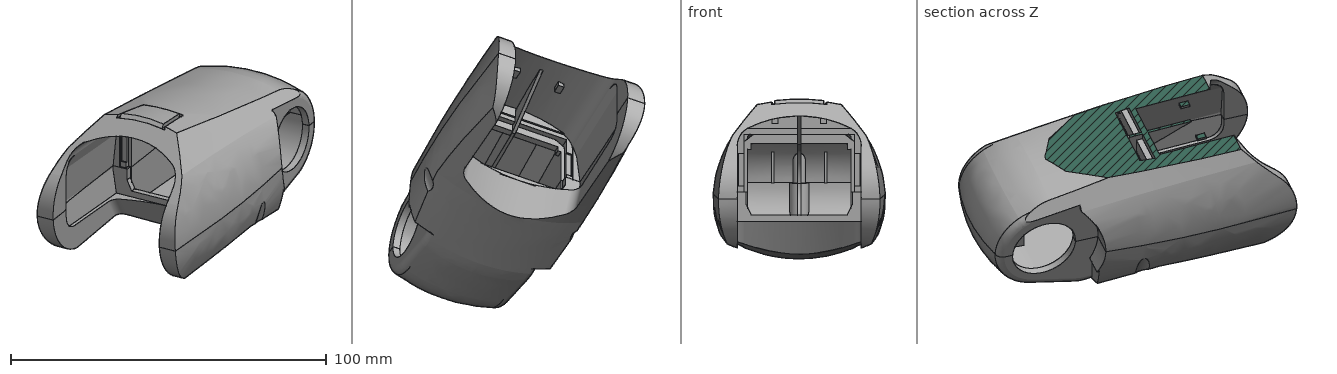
import cadquery as cq
import math


HUB_Y = 82.8
HUB_Z = 23.3
HUB_RADIUS = 18.2
HUB_HALF_WIDTH = 18.8
HUB_HOLE_RADIUS = 10.6
HUB_RIM_FILLET = 2.5
MATE_RADIUS = 18.2
LEDGE_Y = 70.7
FLANK_BACK_Y = 66.7
FLANK_STEP_Z = 13.6

ROOF_FRONT_Y = 23.1
ROOF_FRONT_Z = 50.2
ROOF_ANGLE = 7.2
SHOULDER_RADIUS = 32.3
BELLY_ANGLE = 19.0
BELLY_CORNER = (71.2, -0.2)
BELLY_FALL = 0.07
FORK_FALL = 0.08
WAIST_Y = 46.5
BELLY_EXTRA = 0.35
BELLY_FILLET = 12.1
CROWN_SAG = 3.0
CROWN_REACH = 28.3
FRONT_MARGIN = 12.1

TIP_RADIUS = 17.2
TIP_CENTRE_Z = 20.4
FRONT_ANGLE = 45.5

SPLIT_SLOPE = 0.053

CHANNEL_HALF_WIDTH = 19.6
ARCH_TOP_Z = 45.3
ARCH_SHOULDER = (15.9, 41.6)
ARCH_SPRING_Z = 36.4
BULKHEAD_Y = 40.9
BULKHEAD_BOTTOM_Z = 11.8
BULKHEAD_THICKNESS = 2.0
CHANNEL_CORNER = 3.2

CAVITY_RADIUS = 15.7
CAVITY_HALF_WIDTH = 16.4
CAVITY_FLOOR_Y = 52.5
CAVITY_ROOF_CHAMFER = 5.1
RELIEF_CORNER = (16.4, 38.4)
RELIEF_TILT = 31.0

ARCH_HAUNCH = (18.6, 39.3)
LEG_POCKET_LEDGE = 1.2
LEG_POCKET_DEPTH = 2.5
LEG_POCKET_FRONT_Y = 8.1
LEG_POCKET_CORNER = 5.1
HOOK_X = (6.7, 8.7)
HOOK_Y = 24.2
HOOK_LENGTH = 3.0
HOOK_Z = 42.8

OPENING_BOTTOM_Z = 13.8
OPENING_BEVEL_Z = 17.4
OPENING_TOP_Z = 39.4
OPENING_BOTTOM_HALF = 15.2
OPENING_LOW_HALF = 16.9
OPENING_TOP_HALF = 17.6
NOTCH_HALF = 19.3
NOTCH_Z = (23.0, 33.3)
STEP_DEPTH = 0.5
STEP_TOP_Z = 41.2
LINTEL_THICKNESS = 2.0
LINTEL_Z = 36.5
HAUNCH_Z = 34.6
HAUNCH_HALF = 15.3
CORNER_WIDTH = 3.0
CORNER_HEIGHT = 2.3

WALL_OVERLAP = 1.0
WEB_THICKNESS = 1.1
WEB_FRONT_Y = 20.2
WEB_CLEARANCE = 10.8
WEB_KNEE = (43.4, 36.2)
BOSS_Y = 96.8
UPPER_BOSS_RADIUS = 2.0
LOWER_BOSS_RADIUS = 3.1
RIB_X = 8.4
RIB_THICKNESS = 0.8
RIB_FRONT_Y = 94.5

FLANK_GROOVE_Y = 52.2
FLANK_GROOVE_LOW = (23.6, 6.1)
FLANK_GROOVE_TOP = (26.8, 15.6)
FLANK_GROOVE_RADIUS = 4.0

BADGE_BACK_Y = 35.0
BADGE_BACK_HALF = 7.5
BADGE_FRONT_Y = 15.2
BADGE_FRONT_HALF = 9.4
BADGE_GAP = 0.9
BADGE_DEPTH = 0.9
BADGE_RISE = 0.4

FAR = 80.8
UNDER = -5.1


def split_z(y):
    """Height of the parting plane at `y`."""
    return HUB_Z + SPLIT_SLOPE * (y - HUB_Y)


def prism(points, half_width):
    """Straight prism of a (y, z) polygon, symmetric about the middle plane."""
    return cq.Workplane("YZ").polyline(points).close().extrude(half_width, both=True)


def box(x_range, y_range, z_range):
    size = [high - low for low, high in (x_range, y_range, z_range)]
    corner = (x_range[0], y_range[0], z_range[0])
    return cq.Workplane("XY").box(*size, centered=False).translate(corner)


def x_cylinder(radius, half_width):
    return cq.Workplane("YZ").center(HUB_Y, HUB_Z).circle(radius).extrude(half_width, both=True)


def mirrored(solid):
    return solid.union(solid.mirror("YZ"))


def long_outline(x, inset):
    """Wire of the side outline moved inwards by `inset`, in the plane at `x`."""
    hub_r = HUB_RADIUS - inset
    shoulder_r = SHOULDER_RADIUS - inset
    roof = math.radians(ROOF_ANGLE)
    belly = math.radians(BELLY_ANGLE)
    floor = math.atan(BELLY_FALL)
    up = (math.sin(roof), math.cos(roof))
    down = (math.sin(belly), -math.cos(belly))
    floor_down = (-math.sin(floor), -math.cos(floor))

    def hub_point(angle):
        return (HUB_Y + hub_r * math.cos(angle), HUB_Z + hub_r * math.sin(angle))

    height = (HUB_Y - ROOF_FRONT_Y) * up[0] + (HUB_Z - ROOF_FRONT_Z) * up[1]
    gap = SHOULDER_RADIUS - HUB_RADIUS
    drop = -SHOULDER_RADIUS - height
    slide = -math.sqrt(gap**2 - drop**2)
    centre_y = HUB_Y + drop * up[0] + slide * up[1]
    centre_z = HUB_Z + drop * up[1] - slide * up[0]
    join = math.atan2(-drop * up[1] + slide * up[0], -drop * up[0] - slide * up[1])
    roof_end = (centre_y + shoulder_r * up[0], centre_z + shoulder_r * up[1])
    middle = (join + math.pi / 2 - roof) / 2
    shoulder_middle = (
        centre_y + shoulder_r * math.cos(middle),
        centre_z + shoulder_r * math.sin(middle),
    )

    hub_end = belly - math.pi / 2
    hub_low = hub_point(hub_end)
    turn = (belly + floor) / 2
    to_centre = BELLY_FILLET / math.cos(turn)
    lean = (belly - floor) / 2
    bump_y = BELLY_CORNER[0] - to_centre * math.sin(lean)
    bump_z = BELLY_CORNER[1] + to_centre * math.cos(lean) + BELLY_EXTRA * inset
    bump_r = BELLY_FILLET - inset

    def bump_point(direction):
        return (bump_y + bump_r * direction[0], bump_z + bump_r * direction[1])

    bump_end = bump_point(floor_down)
    front_y = -FRONT_MARGIN
    top_front = roof_end[1] + (roof_end[0] - front_y) * math.tan(roof)
    waist_z = bump_end[1] + (bump_end[0] - WAIST_Y) * BELLY_FALL
    low_front = waist_z - (WAIST_Y - front_y) * FORK_FALL
    return (
        cq.Workplane("YZ", origin=(x, 0, 0))
        .moveTo(front_y, top_front)
        .lineTo(*roof_end)
        .threePointArc(shoulder_middle, hub_point(join))
        .threePointArc(hub_point((join + hub_end) / 2), hub_low)
        .lineTo(*bump_point(down))
        .threePointArc(bump_point((math.sin(lean), -math.cos(lean))), bump_end)
        .lineTo(WAIST_Y, waist_z)
        .lineTo(front_y, low_front)
        .close()
        .val()
    )


def crowned_body():
    """Side outline whose skin falls away towards both sides."""
    sections = []
    for part in (-1, -0.5, 0, 0.5, 1):
        x = part * CROWN_REACH
        sections.append(long_outline(x, CROWN_SAG * (x / HUB_HALF_WIDTH) ** 2))
    return cq.Workplane(cq.Solid.makeLoft(sections))


BARREL_STATIONS = [
    (-4.0, (12.5, 52.0), (20.6, 39.4), 22.9, 25.3, 22.0),
    (21.2, (13.6, 48.6), (21.0, 39.4), 24.3, 26.9, 22.8),
    (42.4, (15.0, 45.5), (20.9, 38.8), 24.4, 27.3, 23.1),
    (66.7, (16.2, 41.8), (20.5, 37.1), 23.4, 26.1, 22.6),
    (105.1, (17.4, 36.2), (19.7, 33.8), 21.6, 23.2, 20.7),
]
SHOULDER_Z = 32.5
WIDEST_Z = 20.2
BOTTOM_EDGE_Z = 4.0
UNDER_NARROWING = 1.6
PEAK_RISE = 8.1


def barrel():
    """Cross-section with bevelled roof edges and bulging sides, lofted along Y."""
    sections = []
    for y, bevel_top, bevel_low, shoulder_x, widest_x, bottom_x in BARREL_STATIONS:
        run = (bevel_low[0] - bevel_top[0]) / (bevel_low[1] - bevel_top[1])
        peak = (bevel_top[0] + PEAK_RISE * run, bevel_top[1] + PEAK_RISE)
        side = [(shoulder_x, SHOULDER_Z), (widest_x, WIDEST_Z), (bottom_x, BOTTOM_EDGE_Z)]
        left_side = [(-x, z) for x, z in reversed(side)]
        under = (bottom_x - UNDER_NARROWING, UNDER)
        sections.append(
            cq.Workplane("XZ", origin=(0, y, 0))
            .moveTo(-peak[0], peak[1])
            .lineTo(*peak)
            .lineTo(*bevel_low)
            .spline(side, includeCurrent=True)
            .lineTo(*under)
            .lineTo(-under[0], under[1])
            .lineTo(*left_side[0])
            .spline(left_side[1:] + [(-bevel_low[0], bevel_low[1])], includeCurrent=True)
            .close()
            .val()
        )
    return cq.Workplane(cq.Solid.makeLoft(sections))


def fork_outline():
    """Side outline of the front: sloped face running into round fork tips."""
    tilt = math.radians(FRONT_ANGLE)
    back = HUB_Y + HUB_RADIUS + 1
    top_y = TIP_RADIUS * (1 - math.sin(tilt))
    top_z = TIP_CENTRE_Z + TIP_RADIUS * math.cos(tilt)
    return (
        cq.Workplane("YZ")
        .moveTo(back, UNDER)
        .lineTo(back, FAR)
        .lineTo(top_y + (FAR - top_z) / math.tan(tilt), FAR)
        .lineTo(top_y, top_z)
        .threePointArc((0, TIP_CENTRE_Z), (TIP_RADIUS, TIP_CENTRE_Z - TIP_RADIUS))
        .lineTo(TIP_RADIUS, UNDER)
        .close()
        .extrude(FAR, both=True)
    )


def hub_zone():
    """Everything behind the front edge of the room kept for the neighbouring links."""
    behind = box((-FAR, FAR), (LEDGE_Y, 2 * FAR), (UNDER, FAR))
    below = box((-FAR, FAR), (FLANK_BACK_Y, 2 * FAR), (UNDER, FLANK_STEP_Z))
    return x_cylinder(MATE_RADIUS, FAR).union(behind).union(below)


crown = crowned_body()
fork = fork_outline()


def hub():
    """Narrow crowned hub with a rounded rim on both sides."""
    start_y = (WAIST_Y + FLANK_BACK_Y) / 2
    slab = box((-HUB_HALF_WIDTH, HUB_HALF_WIDTH), (start_y, 2 * FAR), (UNDER, FAR))
    body = crown.intersect(slab)
    back = cq.selectors.BoxSelector((-FAR, start_y + 1, UNDER), (FAR, 2 * FAR, FAR))
    return body.faces("<X or >X").edges(back).fillet(HUB_RIM_FILLET)


def outer_skin():
    """Wide fork with the hub behind it."""
    section = barrel()
    wide = crown.intersect(section).intersect(fork).cut(hub_zone())
    return wide.union(hub().intersect(section).intersect(hub_zone()))


def channel():
    """Arched slot between the legs, closed at the back by the bulkhead."""
    return (
        cq.Workplane("XZ", origin=(0, BULKHEAD_Y, 0))
        .moveTo(-CHANNEL_HALF_WIDTH, BULKHEAD_BOTTOM_Z)
        .lineTo(-CHANNEL_HALF_WIDTH, ARCH_SPRING_Z)
        .threePointArc((-ARCH_HAUNCH[0], ARCH_HAUNCH[1]), (-ARCH_SHOULDER[0], ARCH_SHOULDER[1]))
        .threePointArc((0, ARCH_TOP_Z), ARCH_SHOULDER)
        .threePointArc(ARCH_HAUNCH, (CHANNEL_HALF_WIDTH, ARCH_SPRING_Z))
        .lineTo(CHANNEL_HALF_WIDTH, BULKHEAD_BOTTOM_Z)
        .close()
        .extrude(FAR)
    )


def relief():
    """Room under the bulkhead: closed at the back by a round wall leaning rearwards."""
    rise = BULKHEAD_Y - RELIEF_CORNER[1]
    wall_radius = (RELIEF_CORNER[0] ** 2 + rise**2) / (2 * rise)
    side_y = BULKHEAD_Y - wall_radius + math.sqrt(wall_radius**2 - CHANNEL_HALF_WIDTH**2)
    room = (
        cq.Workplane("XY", origin=(0, 0, BULKHEAD_BOTTOM_Z))
        .moveTo(-CHANNEL_HALF_WIDTH, -FAR)
        .lineTo(-CHANNEL_HALF_WIDTH, side_y)
        .threePointArc((0, BULKHEAD_Y), (CHANNEL_HALF_WIDTH, side_y))
        .lineTo(CHANNEL_HALF_WIDTH, -FAR)
        .close()
        .extrude(FAR / 2, both=True)
        .faces("%CYLINDER")
        .edges("|Z")
        .fillet(CHANNEL_CORNER)
    )
    hinge_line = [(x, BULKHEAD_Y, BULKHEAD_BOTTOM_Z) for x in (0, 1)]
    leaning = room.rotate(*hinge_line, RELIEF_TILT)
    return leaning.intersect(box((-FAR, FAR), (-FAR, FAR), (-FAR, BULKHEAD_BOTTOM_Z)))


def leg_pockets():
    """Shallow rounded recess in the inner wall of each leg, above a narrow ledge."""
    half = [
        (CHANNEL_HALF_WIDTH + LEG_POCKET_LEDGE, BULKHEAD_BOTTOM_Z),
        (CHANNEL_HALF_WIDTH + LEG_POCKET_DEPTH, WIDEST_Z),
        (CHANNEL_HALF_WIDTH + LEG_POCKET_LEDGE, SHOULDER_Z),
        (CHANNEL_HALF_WIDTH, ARCH_SPRING_Z),
    ]
    section = (
        cq.Workplane("XZ", origin=(0, BULKHEAD_Y, 0))
        .polyline(half + [(-x, z) for x, z in reversed(half)])
        .close()
        .extrude(FAR)
    )
    ends = box((-FAR, FAR), (LEG_POCKET_FRONT_Y, BULKHEAD_Y), (BULKHEAD_BOTTOM_Z, ARCH_SPRING_Z))
    return section.intersect(ends.edges("|X and <Y").fillet(LEG_POCKET_CORNER))


def cavity():
    """Hollow behind the bulkhead, ending in a round around the hinge axis."""
    front = BULKHEAD_Y + BULKHEAD_THICKNESS
    roof = math.radians(ROOF_ANGLE)
    top_y = HUB_Y + CAVITY_RADIUS * math.sin(roof)
    top_z = HUB_Z + CAVITY_RADIUS * math.cos(roof)
    room = prism(
        [
            (front, OPENING_BOTTOM_Z),
            (front, top_z + (top_y - front) * math.tan(roof)),
            (top_y, top_z),
            (HUB_Y, HUB_Z - CAVITY_RADIUS),
            (CAVITY_FLOOR_Y, HUB_Z - CAVITY_RADIUS),
        ],
        CAVITY_HALF_WIDTH,
    )
    room = room.faces(">Z").edges("not |X").chamfer(CAVITY_ROOF_CHAMFER)
    return room.union(x_cylinder(CAVITY_RADIUS, CAVITY_HALF_WIDTH))


def bulkhead_opening():
    """Window through the bulkhead, wider above the parting plane and bevelled below."""
    seam = split_z(BULKHEAD_Y)
    half = [
        (OPENING_BOTTOM_HALF, OPENING_BOTTOM_Z),
        (OPENING_LOW_HALF, OPENING_BEVEL_Z),
        (OPENING_LOW_HALF, seam),
        (OPENING_TOP_HALF, seam),
        (OPENING_TOP_HALF, OPENING_TOP_Z),
    ]
    outline = half + [(-x, z) for x, z in reversed(half)]
    window = (
        cq.Workplane("XZ", origin=(0, BULKHEAD_Y, 0))
        .polyline(outline)
        .close()
        .extrude(-BULKHEAD_THICKNESS)
    )
    notch = box(
        (OPENING_TOP_HALF, NOTCH_HALF),
        (BULKHEAD_Y, BULKHEAD_Y + BULKHEAD_THICKNESS / 2),
        NOTCH_Z,
    )
    step = box(
        (-CHANNEL_HALF_WIDTH, CHANNEL_HALF_WIDTH),
        (BULKHEAD_Y, BULKHEAD_Y + STEP_DEPTH),
        (seam, STEP_TOP_Z),
    )
    step = step.intersect(channel().translate((0, STEP_DEPTH, 0)))
    return window.union(mirrored(notch)).union(step)


def lintel():
    """Cross-beam behind the top of the window, with a short haunch at each end."""
    back = BULKHEAD_Y + BULKHEAD_THICKNESS
    end = CAVITY_HALF_WIDTH + WALL_OVERLAP
    outline = [
        (-end, HAUNCH_Z),
        (-HAUNCH_HALF, HAUNCH_Z),
        (-HAUNCH_HALF, LINTEL_Z),
        (HAUNCH_HALF, LINTEL_Z),
        (HAUNCH_HALF, HAUNCH_Z),
        (end, HAUNCH_Z),
        (end, ARCH_SHOULDER[1]),
        (-end, ARCH_SHOULDER[1]),
    ]
    return cq.Workplane("XZ", origin=(0, back, 0)).polyline(outline).close().extrude(-LINTEL_THICKNESS)


def lintel_corners():
    """Triangular pockets in the upper corners of the window, behind the bulkhead."""
    corner = (
        cq.Workplane("XZ", origin=(0, BULKHEAD_Y + BULKHEAD_THICKNESS, 0))
        .moveTo(OPENING_TOP_HALF, OPENING_TOP_Z)
        .lineTo(OPENING_TOP_HALF - CORNER_WIDTH, OPENING_TOP_Z)
        .lineTo(OPENING_TOP_HALF, OPENING_TOP_Z - CORNER_HEIGHT)
        .close()
        .extrude(-LINTEL_THICKNESS)
    )
    return mirrored(corner)


def middle_web():
    """Thin plate along the roof and the back wall, clear of the hinge pin."""
    start = (WEB_FRONT_Y, ARCH_TOP_Z + WALL_OVERLAP)
    reach = math.hypot(HUB_Y - WEB_KNEE[0], WEB_KNEE[1] - HUB_Z)
    toward = math.atan2(WEB_KNEE[1] - HUB_Z, WEB_KNEE[0] - HUB_Y)
    tangent = toward - math.acos(WEB_CLEARANCE / reach)
    touch = (HUB_Y + WEB_CLEARANCE * math.cos(tangent), HUB_Z + WEB_CLEARANCE * math.sin(tangent))
    middle = (tangent - math.pi / 2) / 2
    return (
        cq.Workplane("YZ")
        .moveTo(*start)
        .lineTo(*WEB_KNEE)
        .lineTo(*touch)
        .threePointArc(
            (HUB_Y + WEB_CLEARANCE * math.cos(middle), HUB_Z + WEB_CLEARANCE * math.sin(middle)),
            (HUB_Y, HUB_Z - WEB_CLEARANCE),
        )
        .lineTo(HUB_Y, HUB_Z - CAVITY_RADIUS - WALL_OVERLAP)
        .threePointArc(
            (HUB_Y + CAVITY_RADIUS + WALL_OVERLAP, HUB_Z),
            (HUB_Y, HUB_Z + CAVITY_RADIUS + WALL_OVERLAP),
        )
        .close()
        .extrude(WEB_THICKNESS / 2, both=True)
    )


def back_wall_parts():
    """Upright screw bosses and two stiffening ribs on the back wall of the hub."""
    seam = split_z(BOSS_Y)
    boss = cq.Workplane("XY", origin=(0, BOSS_Y, seam))
    parts = boss.circle(UPPER_BOSS_RADIUS).extrude(CAVITY_RADIUS)
    parts = parts.union(boss.circle(LOWER_BOSS_RADIUS).extrude(-CAVITY_RADIUS))
    rib = box(
        (RIB_X - RIB_THICKNESS / 2, RIB_X + RIB_THICKNESS / 2),
        (RIB_FRONT_Y, HUB_Y + CAVITY_RADIUS + WALL_OVERLAP),
        (seam, seam + CAVITY_RADIUS),
    )
    parts = parts.union(mirrored(rib))
    return parts.intersect(x_cylinder(CAVITY_RADIUS + WALL_OVERLAP, CAVITY_HALF_WIDTH))


def hooks():
    """Two small catches hanging from the arch."""
    hook = box(HOOK_X, (HOOK_Y, HOOK_Y + HOOK_LENGTH), (HOOK_Z, ARCH_TOP_Z))
    return mirrored(hook)


def flank_grooves():
    """Lens-shaped hollow in each lower flank, cut by a leaning cylinder."""
    run = FLANK_GROOVE_TOP[0] - FLANK_GROOVE_LOW[0]
    rise = FLANK_GROOVE_TOP[1] - FLANK_GROOVE_LOW[1]
    lean = math.degrees(math.atan2(run, rise))
    cutter = (
        cq.Workplane("XY")
        .circle(FLANK_GROOVE_RADIUS)
        .extrude(FAR / 4, both=True)
        .translate((FLANK_GROOVE_RADIUS, 0, 0))
        .rotate((0, 0, 0), (0, 1, 0), lean)
        .translate((FLANK_GROOVE_LOW[0], FLANK_GROOVE_Y, FLANK_GROOVE_LOW[1]))
    )
    return mirrored(cutter)


def badge_outline(gap):
    """Upright prism over the badge outline, set in by `gap`; open towards the front."""
    back = BADGE_BACK_HALF - gap
    front = BADGE_FRONT_HALF - gap
    back_y = BADGE_BACK_Y - gap
    outline = [(-back, back_y), (back, back_y), (front, BADGE_FRONT_Y), (-front, BADGE_FRONT_Y)]
    return cq.Workplane("XY", origin=(0, 0, ARCH_TOP_Z)).polyline(outline).close().extrude(FAR)


def badge_floor():
    """Crowned surface under the badge."""
    return crown.translate((0, 0, -BADGE_DEPTH))


def badge_recess():
    return badge_outline(0).cut(badge_floor())


def make_badge():
    """Loose pad in the recess, a little proud of the roof."""
    top = crown.translate((0, 0, BADGE_RISE))
    return badge_outline(BADGE_GAP).intersect(top).cut(badge_floor()).intersect(fork)


def housing():
    """Both shells in one piece, before they are parted."""
    hollow = outer_skin()
    for space in (channel(), relief(), leg_pockets(), cavity(), bulkhead_opening()):
        hollow = hollow.cut(space)
    fittings = lintel().union(middle_web()).union(back_wall_parts()).union(hooks())
    return (
        hollow.union(fittings)
        .cut(x_cylinder(HUB_HOLE_RADIUS, FAR))
        .cut(lintel_corners())
        .cut(flank_grooves())
        .cut(badge_recess())
    )


def upper_space():
    """Everything above the tilted parting plane."""
    front, back = -FRONT_MARGIN, HUB_Y + 2 * HUB_RADIUS
    return prism([(front, split_z(front)), (back, split_z(back)), (back, FAR), (front, FAR)], FAR)


shell = housing()
upper_shell = shell.intersect(upper_space())
lower_shell = shell.cut(upper_space())
badge = make_badge()

result = cq.Compound.makeCompound([upper_shell.val(), lower_shell.val(), badge.val()])